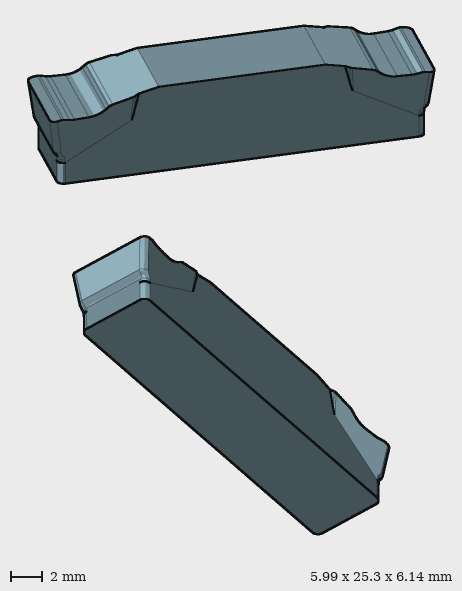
import cadquery as cq
import math


def tan_deg(angle):
    return math.tan(math.radians(angle))


OVERALL_LENGTH = 25.25
OVERALL_HEIGHT = 6.14
CUTTING_WIDTH = 5.99

SHANK_LENGTH = 24.1
SHANK_WIDTH = 5.22
SHANK_CORNER_RADIUS = 0.45
SHANK_END_DEPTH = (OVERALL_LENGTH - SHANK_LENGTH) / 2

EDGE_HEIGHT = 4.76
LAND_ANGLE = 9.0
FALL_ANGLE = 12.0
RISE_ANGLE = 38.8
RAMP_ANGLE = 13.0
LAND_END = 0.69
FALL_START = 0.84
FALL_END = 1.23
FLOOR_START = 1.55
FLOOR_END = 2.51
RISE_START = 3.62
RISE_END = 3.83
RAMP_START = 4.08

CLEARANCE_ANGLE = 7.0
CLEARANCE_BOTTOM = 2.34
UNDERCUT_BOTTOM = 1.81
HEAD_BOTTOM = 1.52

FLANK_CLEARANCE_ANGLE = 6.05
BACK_TAPER_ANGLE = 3.4
HEAD_CORNER_RADIUS = 0.4

REAR_DEPTH = 5.38
REAR_HEIGHT = 3.9
REAR_LEAN_ANGLE = 13.8
REAR_RUNOUT_ANGLE = 30.0
REAR_BLEND_RADIUS = 0.35


def rise(start, end, start_angle, end_angle=None):
    """Height gained by a line, or by an arc whose slope turns between two angles."""
    if end_angle is None:
        end_angle = start_angle
    return (end - start) * tan_deg((start_angle + end_angle) / 2)


LAND_TOP = EDGE_HEIGHT + rise(0, LAND_END, LAND_ANGLE)
FALL_TOP = LAND_TOP + rise(LAND_END, FALL_START, LAND_ANGLE, -FALL_ANGLE)
FALL_BOTTOM = FALL_TOP + rise(FALL_START, FALL_END, -FALL_ANGLE)
FLOOR_HEIGHT = FALL_BOTTOM + rise(FALL_END, FLOOR_START, -FALL_ANGLE, 0)
RISE_BOTTOM = FLOOR_HEIGHT + rise(FLOOR_END, RISE_START, 0, RISE_ANGLE)
RISE_TOP = RISE_BOTTOM + rise(RISE_START, RISE_END, RISE_ANGLE)
RAMP_BOTTOM = RISE_TOP + rise(RISE_END, RAMP_START, RISE_ANGLE, RAMP_ANGLE)
RAMP_END = RAMP_START + (OVERALL_HEIGHT - RAMP_BOTTOM) / tan_deg(RAMP_ANGLE)


def draw_top(sketch):
    """Continue an outline from the cutting edge along the head top to the flat top."""
    return (
        sketch
        .lineTo(LAND_END, LAND_TOP)
        .tangentArcPoint((FALL_START, FALL_TOP), relative=False)
        .lineTo(FALL_END, FALL_BOTTOM)
        .tangentArcPoint((FLOOR_START, FLOOR_HEIGHT), relative=False)
        .lineTo(FLOOR_END, FLOOR_HEIGHT)
        .tangentArcPoint((RISE_START, RISE_BOTTOM), relative=False)
        .lineTo(RISE_END, RISE_TOP)
        .tangentArcPoint((RAMP_START, RAMP_BOTTOM), relative=False)
        .lineTo(RAMP_END, OVERALL_HEIGHT)
    )


def profile_plane(width):
    """YZ plane at -X, half the width off centre, with the -Y cutting edge as its origin."""
    return cq.Workplane("YZ", origin=(-width / 2, -OVERALL_LENGTH / 2, 0))


def make_shank_half():
    """The -Y half of the shank; outside the ramp its top stays buried in the head."""
    middle = OVERALL_LENGTH / 2
    slab = (
        profile_plane(SHANK_WIDTH)
        .moveTo(0, 0)
        .lineTo(0, UNDERCUT_BOTTOM)
        .lineTo(RAMP_START, FLOOR_HEIGHT)
        .lineTo(RAMP_START, RAMP_BOTTOM)
        .lineTo(RAMP_END, OVERALL_HEIGHT)
        .lineTo(middle, OVERALL_HEIGHT)
        .lineTo(middle, 0)
        .close()
        .extrude(SHANK_WIDTH)
    )
    column = (
        cq.Workplane("XY")
        .rect(SHANK_WIDTH, SHANK_LENGTH)
        .extrude(OVERALL_HEIGHT)
        .edges("|Z")
        .fillet(SHANK_CORNER_RADIUS)
    )
    return slab.intersect(column)


def half_space(point, normal):
    """A block lying on the normal side of a plane, larger than the part."""
    plane = cq.Plane(origin=point, normal=normal)
    return cq.Workplane(plane).rect(2 * OVERALL_LENGTH, 2 * OVERALL_LENGTH).extrude(OVERALL_LENGTH)


def make_head():
    """The -Y cutting head, running inwards into the shank."""
    edge_y = -OVERALL_LENGTH / 2
    blank_width = 2 * CUTTING_WIDTH
    clearance_depth = (EDGE_HEIGHT - CLEARANCE_BOTTOM) * tan_deg(CLEARANCE_ANGLE)
    outline = (
        profile_plane(blank_width)
        .moveTo(RAMP_END, HEAD_BOTTOM)
        .lineTo(SHANK_END_DEPTH, HEAD_BOTTOM)
        .lineTo(SHANK_END_DEPTH, UNDERCUT_BOTTOM)
        .spline(
            [(clearance_depth, CLEARANCE_BOTTOM)],
            tangents=[(0, 1), (-tan_deg(CLEARANCE_ANGLE), 1)],
            includeCurrent=True,
        )
        .lineTo(0, EDGE_HEIGHT)
    )
    head = draw_top(outline).close().extrude(blank_width)

    back_taper = tan_deg(BACK_TAPER_ANGLE)
    flank_clearance = tan_deg(FLANK_CLEARANCE_ANGLE)
    rear_lean = tan_deg(REAR_LEAN_ANGLE)
    rear_runout = tan_deg(REAR_RUNOUT_ANGLE)
    corner_height = EDGE_HEIGHT + rise(0, HEAD_CORNER_RADIUS, LAND_ANGLE)
    for side in (-1, 1):
        flank_point = (side * CUTTING_WIDTH / 2, edge_y + HEAD_CORNER_RADIUS, corner_height)
        rear_point = (side * SHANK_WIDTH / 2, edge_y + REAR_DEPTH, REAR_HEIGHT)
        head = head.cut(half_space(flank_point, (side, back_taper, -flank_clearance)))
        head = head.cut(half_space(rear_point, (side, rear_runout, -rear_lean * rear_runout)))

    return round_head(head)


def edges_beside(side, depth_start, depth_end):
    """Selector for upright flank edges below the cutting edge, by depth of their middles."""
    edge_y = -OVERALL_LENGTH / 2
    inner_x = side * (SHANK_WIDTH / 2 - SHANK_CORNER_RADIUS)
    outer_x = side * CUTTING_WIDTH
    return cq.selectors.BoxSelector(
        (inner_x, edge_y + depth_start, HEAD_BOTTOM),
        (outer_x, edge_y + depth_end, EDGE_HEIGHT),
    )


def round_head(head):
    """Round the front corners and the edges between the flanks and the rear faces."""
    for side in (-1, 1):
        head = head.edges(edges_beside(side, 0, 2 * SHANK_END_DEPTH)).fillet(HEAD_CORNER_RADIUS)
        head = head.edges(edges_beside(side, RISE_END, RAMP_END)).fillet(REAR_BLEND_RADIUS)
    return head


insert_half = make_shank_half().union(make_head())
result = insert_half.union(insert_half.mirror("XZ"))